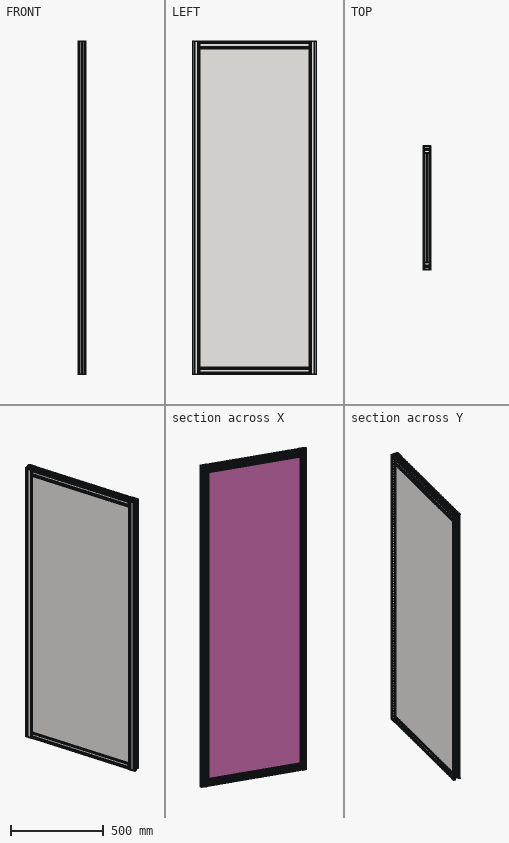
import cadquery as cq

frame_width = 670.0
frame_height = 1800.0

bar_size = 40.0
corner_radius = 3.5
inner_chamfer = 1.5
bore_diameter = 6.8

mouth_width = 8.0
lip_edge_depth = 1.5
lip_bevel_width = 16.0
lip_depth = 2.5
pocket_width = 30.0
pocket_wall_depth = 10.0
pocket_floor_width = 18.0
slot_depth = 15.0

opening_width = frame_width - 2 * bar_size
opening_height = frame_height - 2 * bar_size
panel_thickness = bar_size - 2 * inner_chamfer


def slot_outline(side):
    """Cross-section of the slot in the +Y (side=1) or -Y (side=-1) face of the bar."""
    face = bar_size / 2
    right_half = [
        (mouth_width / 2, face),
        (mouth_width / 2, face - lip_edge_depth),
        (lip_bevel_width / 2, face - lip_depth),
        (pocket_width / 2, face - lip_depth),
        (pocket_width / 2, face - pocket_wall_depth),
        (pocket_floor_width / 2, face - slot_depth),
    ]
    left_half = [(-x, y) for x, y in reversed(right_half)]
    return [(x, side * y) for x, y in right_half + left_half]


def bar(length):
    """Bar along Z, centred on the origin, slotted in both Y faces; its +Y face is the outer one."""
    body = cq.Workplane("XY").rect(bar_size, bar_size).extrude(length)
    body = body.edges("|Z and >Y").fillet(corner_radius)
    body = body.edges("|Z and <Y").chamfer(inner_chamfer)
    for side in (1, -1):
        slot = cq.Workplane("XY").polyline(slot_outline(side)).close().extrude(length)
        body = body.cut(slot)
    bore = cq.Workplane("XY").circle(bore_diameter / 2).extrude(length)
    return body.cut(bore).translate((0, 0, -length / 2))


upright = bar(frame_height).translate((0, (frame_width - bar_size) / 2, 0))
crossbar = bar(opening_width).rotate((0, 0, 0), (1, 0, 0), 90)
crossbar = crossbar.translate((0, 0, (frame_height - bar_size) / 2))

result = cq.Workplane("XY").box(panel_thickness, opening_width, opening_height)

for angle in (0, 180):
    for member in (upright, crossbar):
        result = result.union(member.rotate((0, 0, 0), (1, 0, 0), angle))